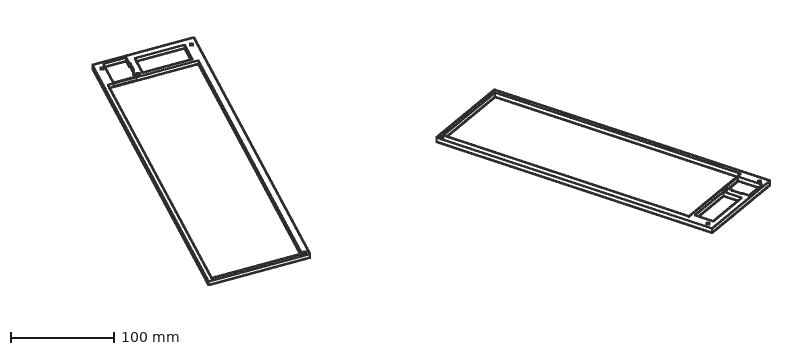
import cadquery as cq

LENGTH = 315.5
WIDTH = 105.0
THICKNESS = 5.0

LEFT_PANEL = 31.0
RIGHT_RAIL = 3.5
TOP_RAIL = 7.3
BOTTOM_RAIL = 4.5

TALL_LEFT = 6.3
TALL_RIGHT = 27.0
TALL_BOTTOM = 41.5
TALL_TOP = 93.0

SMALL_LEFT = 2.5
SMALL_RIGHT = 30.0
SMALL_BOTTOM = 10.5
SMALL_TOP = 34.0
NOTCH_LEFT = 10.7
NOTCH_RIGHT = 21.5
NOTCH_DEPTH = 1.0

HOLE_DIAMETER = 3.05
HOLE_CENTERS = [
    (8.2, 99.5),
    (8.0, 7.0),
    (27.5, 37.2),
    (311.7, 101.0),
]


def block(left, right, bottom, top):
    """Block of full plate thickness between the given edges."""
    return cq.Workplane("XY").box(right - left, top - bottom, THICKNESS, centered=False).translate(
        (left, bottom, 0)
    )


plate = block(0, LENGTH, 0, WIDTH)
main_window = block(LEFT_PANEL, LENGTH - RIGHT_RAIL, BOTTOM_RAIL, WIDTH - TOP_RAIL)
tall_window = block(TALL_LEFT, TALL_RIGHT, TALL_BOTTOM, TALL_TOP)
small_window = block(SMALL_LEFT, SMALL_RIGHT, SMALL_BOTTOM, SMALL_TOP)
notch = block(NOTCH_LEFT, NOTCH_RIGHT, SMALL_BOTTOM, SMALL_TOP + NOTCH_DEPTH)
holes = cq.Workplane("XY").pushPoints(HOLE_CENTERS).circle(HOLE_DIAMETER / 2).extrude(THICKNESS)

result = plate
for opening in (main_window, tall_window, small_window, notch, holes):
    result = result.cut(opening)